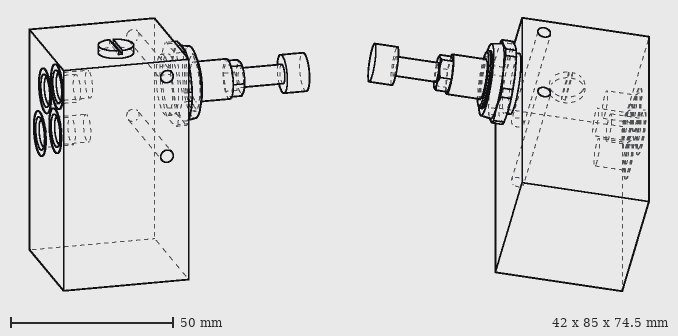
import cadquery as cq
import math

BLOCK_SIDE = 40.0
BLOCK_HEIGHT = 72.0
OVERALL_LENGTH = 85.0
OVERALL_HEIGHT = 74.5

PORTS = [(12.0, 30.0), (18.0, 14.0), (30.0, 23.0), (32.0, 8.0)]
PORT_DIAMETER = 8.6
PORT_MOUTH_DIAMETER = 10.3
PORT_DEPTH = 10.2
SPOTFACE_DIAMETER = 14.0
SPOTFACE_DEPTH = 0.2

CROSS_HOLE_DIAMETER = 4.0
CROSS_HOLE_FROM_BACK = 7.0
CROSS_HOLES_BELOW_TOP = [5.0, 31.0]

SCREW_DIAMETER = 11.0
SCREW_X = 28.05
SLOT_WIDTH = 1.2
SLOT_DEPTH = 1.2

PLUNGER_X = 11.1
PLUNGER_BELOW_TOP = 18.0
COLLAR_DIAMETER = 19.0
COLLAR_END = 1.95
NUT_FLATS = 24.0
NUT_DIAMETER = 26.2
NUT_END = 5.8
NUT_CHAMFER = 0.25
CONE_BASE_DIAMETER = 23.5
CONE_TIP_DIAMETER = 22.4
CONE_END = 8.9
RING_DIAMETER = 18.0
RING_END = 9.95
RING_CHAMFER = 0.5
SLEEVE_DIAMETER = 12.5
SLEEVE_END = 20.5
LOCKNUT_FLATS = 9.95
LOCKNUT_END = 24.5
LOCKNUT_CHAMFER = 0.4
ROD_DIAMETER = 6.0
KNOB_DIAMETER = 12.0
KNOB_LENGTH = 7.1


def make_block():
    return cq.Workplane("XY").box(BLOCK_SIDE, BLOCK_SIDE, BLOCK_HEIGHT, centered=False)


def make_port(x, below_top):
    """Cutter for a spotfaced blind port with a 45 degree countersunk mouth."""
    mouth_radius = PORT_MOUTH_DIAMETER / 2
    bore_radius = PORT_DIAMETER / 2
    spotface_radius = SPOTFACE_DIAMETER / 2
    bore_start = SPOTFACE_DEPTH + mouth_radius - bore_radius
    profile = [
        (0, 0),
        (spotface_radius, 0),
        (spotface_radius, SPOTFACE_DEPTH),
        (mouth_radius, SPOTFACE_DEPTH),
        (bore_radius, bore_start),
        (bore_radius, PORT_DEPTH),
        (0, PORT_DEPTH),
    ]
    cutter = cq.Workplane("XY").polyline(profile).close().revolve(360, (0, 0), (0, 1))
    return cutter.translate((x, 0, BLOCK_HEIGHT - below_top))


def make_cross_hole(below_top):
    centre = (BLOCK_SIDE - CROSS_HOLE_FROM_BACK, BLOCK_HEIGHT - below_top)
    return cq.Workplane("YZ").center(*centre).circle(CROSS_HOLE_DIAMETER / 2).extrude(BLOCK_SIDE)


def make_screw():
    height = OVERALL_HEIGHT - BLOCK_HEIGHT
    head = cq.Workplane("XY").circle(SCREW_DIAMETER / 2).extrude(height)
    slot = cq.Workplane("XY").box(SCREW_DIAMETER, SLOT_WIDTH, SLOT_DEPTH, centered=(True, True, False))
    head = head.cut(slot.translate((0, 0, height - SLOT_DEPTH)))
    return head.translate((SCREW_X, BLOCK_SIDE / 2, BLOCK_HEIGHT))


def disc(diameter, start, end):
    return cq.Workplane("XY").workplane(offset=start).circle(diameter / 2).extrude(end - start)


def hexagon(flats, start, end):
    """Hexagonal prism with its corners on the X axis."""
    corner_diameter = flats / math.cos(math.pi / 6)
    return cq.Workplane("XY").workplane(offset=start).polygon(6, corner_diameter).extrude(end - start)


def make_locknut():
    """Hexagon whose outer corners are cut back by a 30 degree chamfer."""
    corner_diameter = LOCKNUT_FLATS / math.cos(math.pi / 6)
    chamfer_width = LOCKNUT_CHAMFER * math.sqrt(3)
    envelope = disc(corner_diameter, SLEEVE_END, LOCKNUT_END)
    envelope = envelope.faces(">Z").chamfer(LOCKNUT_CHAMFER, chamfer_width)
    return hexagon(LOCKNUT_FLATS, SLEEVE_END, LOCKNUT_END).intersect(envelope)


def make_nut():
    """Hexagon with rounded corners; both rims slope in to the base circle of the cone."""
    rim_radius = CONE_BASE_DIAMETER / 2
    outer_radius = NUT_DIAMETER / 2
    profile = [
        (0, COLLAR_END),
        (rim_radius, COLLAR_END),
        (outer_radius, COLLAR_END + NUT_CHAMFER),
        (outer_radius, NUT_END - NUT_CHAMFER),
        (rim_radius, NUT_END),
        (0, NUT_END),
    ]
    envelope = cq.Workplane("XZ").polyline(profile).close().revolve(360, (0, 0), (0, 1))
    return hexagon(NUT_FLATS, COLLAR_END, NUT_END).intersect(envelope)


def make_plunger():
    """Plunger stack built along Z, then turned to point along +Y from the back face."""
    length = OVERALL_LENGTH - BLOCK_SIDE
    cone = (
        cq.Workplane("XY").workplane(offset=NUT_END).circle(CONE_BASE_DIAMETER / 2)
        .workplane(offset=CONE_END - NUT_END).circle(CONE_TIP_DIAMETER / 2).loft(ruled=True)
    )
    ring = disc(RING_DIAMETER, CONE_END, RING_END).faces(">Z").chamfer(RING_CHAMFER)
    stack = disc(COLLAR_DIAMETER, 0, COLLAR_END)
    stack = stack.union(make_nut()).union(cone).union(ring)
    stack = stack.union(disc(SLEEVE_DIAMETER, RING_END, SLEEVE_END))
    stack = stack.union(make_locknut())
    stack = stack.union(disc(ROD_DIAMETER, LOCKNUT_END, length - KNOB_LENGTH))
    stack = stack.union(disc(KNOB_DIAMETER, length - KNOB_LENGTH, length))
    stack = stack.rotate((0, 0, 0), (1, 0, 0), -90)
    return stack.translate((PLUNGER_X, BLOCK_SIDE, BLOCK_HEIGHT - PLUNGER_BELOW_TOP))


result = make_block()
for port_x, port_below_top in PORTS:
    result = result.cut(make_port(port_x, port_below_top))
for hole_below_top in CROSS_HOLES_BELOW_TOP:
    result = result.cut(make_cross_hole(hole_below_top))
result = result.union(make_screw()).union(make_plunger())